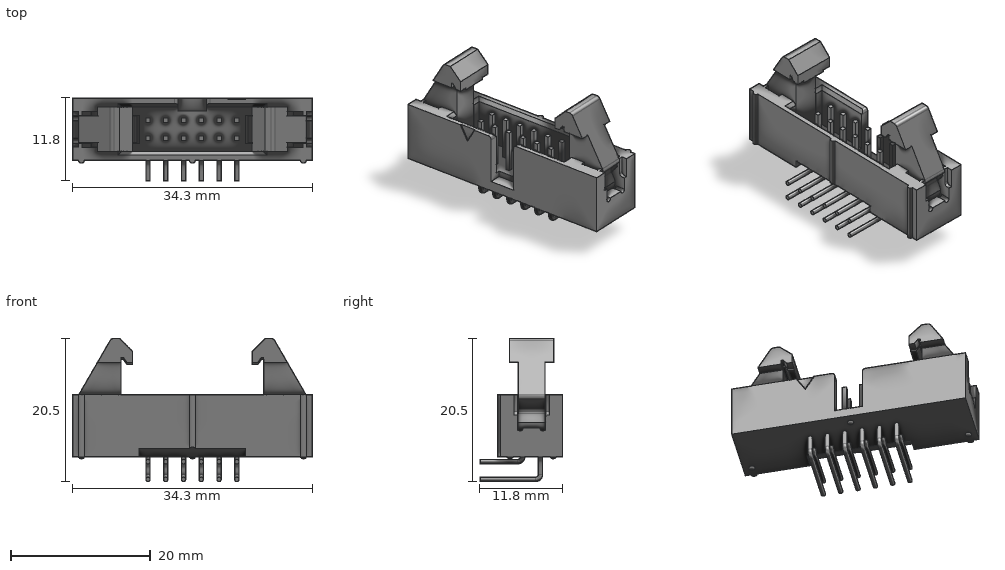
import cadquery as cq
import math


length = 34.29
depth = 8.89
height = 8.89
half_length = length / 2
half_depth = depth / 2

cavity_length = 20.32
cavity_width = 6.4
cavity_floor_z = 2.4
rim_chamfer = 0.5

notch_width = 4.05
notch_floor_z = 1.52
notch_inner_y = 2.59
notch_rounding = 0.5

rib_radius = 0.44
rib_inset = 0.04
rib_spacing = 15.875
foot_radius = 0.45
foot_height = 0.3
foot_y = 3.08

relief_length = 15.24
relief_height = 1.15
relief_depth = 2.03

pitch = 2.54
columns = 6
pin_size = 0.64
pin_top_z = 8.58
pin_root_z = 1.0
pin_bend_radius = 0.72
tail_end_y = -7.365
lowest_tail_z = -3.24

mark_x = (columns - 1) / 2 * pitch
mark_half_width = pitch / 2
mark_height = 2.2
mark_depth = 0.18

clearance = 0.05
latch_width = 3.85
head_width = 6.35
latch_top_z = 16.94
lean_angle = math.radians(30)
lean = math.tan(lean_angle)
top_outer_x = 11.6
top_inner_x = 10.42
arm_inner_x = 10.2
hook_tip_x = 8.55
hook_tip_height = 1.86
hook_bottom_z = 13.2
ear_bottom_z = 13.51
hook_flat = 0.82
hook_notch_height = 0.72
hook_notch_width = 0.31
top_rounding = 0.65
elbow_z = 8.51
elbow_rounding = 0.6
heel_x = 15.53
heel_top_z = 4.87
heel_bulge = 0.09
heel_turn = math.radians(60)
neck_rounding = 0.6
toe_tip_x = 7.95
toe_top_z = 2.3
toe_bottom_z = 1.2
toe_rounding = 0.3
trunnion_x = 13.25
trunnion_z = 5.0
trunnion_radius = 1.18
trunnion_length = 5.06

slot_width = 4.0
slot_floor_z = 4.13
toe_slot_end_x = 7.6
toe_slot_rounding = 0.35
groove_radius = 0.39
groove_bottom_z = 3.7
pocket_width = trunnion_length + 2 * clearance
pocket_inner_x = 13.0
pocket_outer_x = 15.8
pocket_slope_top_z = 7.42
pocket_slope_bottom_z = 5.75
recess_width = 5.07
recess_depth = 0.85
recess_floor_z = 5.97
recess_rounding = 0.53


def box(x_range, y_range, z_range):
    """Block spanning the given (low, high) ranges."""
    spans = (x_range, y_range, z_range)
    sizes = [high - low for low, high in spans]
    return cq.Workplane("XY").box(*sizes, centered=False).translate([low for low, _ in spans])


def across(width):
    """(low, high) range of a width centred on zero."""
    return (-width / 2, width / 2)


def side_prism(outline, width):
    """XZ outline extruded along Y, centred on Y = 0."""
    return cq.Workplane("XZ").polyline(outline).close().extrude(width / 2, both=True)


def cross_cylinder(x, z, radius, width):
    """Cylinder along Y, centred on Y = 0."""
    return cq.Workplane("XZ").center(x, z).circle(radius).extrude(width / 2, both=True)


def round_corner(body, corner, radius):
    """Fillets the edge along Y that passes through an XZ corner."""
    x, z = corner
    return body.edges("|Y").edges(cq.selectors.NearestToPointSelector((x, 0, z))).fillet(radius)


def mirrored(body):
    return body.mirror("YZ")


def cavity():
    top = (
        cq.Workplane("XY", origin=(0, 0, height - rim_chamfer))
        .rect(cavity_length, cavity_width)
        .workplane(offset=rim_chamfer)
        .rect(cavity_length + 2 * rim_chamfer, cavity_width + 2 * rim_chamfer)
        .loft(ruled=True)
    )
    return box(across(cavity_length), across(cavity_width), (cavity_floor_z, height)).union(top)


def key_notch():
    notch = box(across(notch_width), (notch_inner_y, half_depth), (notch_floor_z, height))
    for side in (-1, 1):
        edge_x = side * notch_width / 2
        outer_x = edge_x + side * notch_rounding
        flare = (
            cq.Workplane("XZ", origin=(0, half_depth, 0))
            .moveTo(edge_x, height)
            .lineTo(edge_x, height - notch_rounding)
            .radiusArc((outer_x, height), side * notch_rounding)
            .close()
            .extrude(half_depth - notch_inner_y)
        )
        notch = notch.union(flare)
    return notch


def pin_one_mark():
    outline = [
        (mark_x - mark_half_width, height),
        (mark_x + mark_half_width, height),
        (mark_x, height - mark_height),
    ]
    return cq.Workplane("XZ", origin=(0, half_depth, 0)).polyline(outline).close().extrude(mark_depth)


def front_ribs():
    centres = [(x, rib_inset - half_depth) for x in (-rib_spacing, 0, rib_spacing)]
    return cq.Workplane("XY").pushPoints(centres).circle(rib_radius).extrude(height)


def tail_relief():
    """Wedge under the front wall, carried on past the wall to trim the middle rib."""
    slope = relief_height / relief_depth
    front_y = rib_inset - half_depth - rib_radius
    inner_y = -half_depth + relief_depth
    outline = [(inner_y, 0), (front_y, 0), (front_y, (inner_y - front_y) * slope)]
    return cq.Workplane("YZ").polyline(outline).close().extrude(relief_length / 2, both=True)


def underside_feet():
    sphere_radius = (foot_radius**2 + foot_height**2) / (2 * foot_height)
    centres = [(-rib_spacing, -foot_y), (rib_spacing, -foot_y), (0, foot_y)]
    centre_z = sphere_radius - foot_height
    return cq.Workplane("XY", origin=(0, 0, centre_z)).pushPoints(centres).sphere(sphere_radius)


def latch_slot():
    """All that is cut for one latch: slot, toe slot, corner grooves, trunnion pocket and end recess."""
    heel_wall_x = heel_x + clearance
    slot = box((cavity_length / 2, half_length), across(slot_width), (slot_floor_z, height))
    toe_slot = box(
        (toe_slot_end_x, heel_wall_x),
        across(slot_width),
        (toe_bottom_z - clearance, slot_floor_z),
    )
    toe_slot = round_corner(toe_slot, (toe_slot_end_x, toe_bottom_z - clearance), toe_slot_rounding)
    above_floor = box((toe_slot_end_x, heel_wall_x), across(slot_width), (cavity_floor_z, height))
    slot = slot.union(toe_slot).union(above_floor)

    groove_y = slot_width / 2 - groove_radius
    groove_z = groove_bottom_z + groove_radius
    grooves = (
        cq.Workplane("YZ", origin=(heel_wall_x, 0, 0))
        .pushPoints([(-groove_y, groove_z), (groove_y, groove_z)])
        .circle(groove_radius)
        .extrude(half_length - heel_wall_x)
    )

    socket_radius = trunnion_radius + clearance
    socket_outer_x = trunnion_x + socket_radius
    pocket_outline = [
        (pocket_inner_x, height),
        (pocket_outer_x, height),
        (pocket_outer_x, pocket_slope_top_z),
        (socket_outer_x, pocket_slope_bottom_z),
        (socket_outer_x, trunnion_z),
        (pocket_inner_x, trunnion_z),
    ]
    pocket = side_prism(pocket_outline, pocket_width)
    socket = cross_cylinder(trunnion_x, trunnion_z, socket_radius, pocket_width)

    recess_wall_x = half_length - recess_depth
    recess = box((recess_wall_x, half_length), across(recess_width), (recess_floor_z, height))
    recess = round_corner(recess, (recess_wall_x, recess_floor_z), recess_rounding)
    return slot.union(grooves).union(pocket).union(socket).union(recess)


def pin(x, y, tail_z):
    """Square contact blade above the floor, and a round tail bent toward -Y."""
    blade = box(across(pin_size), across(pin_size), (pin_root_z, pin_top_z)).translate((x, y, 0))
    bend_y = y - pin_bend_radius
    bend_z = tail_z + pin_bend_radius
    diagonal = pin_bend_radius * math.sqrt(0.5)
    path = (
        cq.Workplane("YZ", origin=(x, 0, 0))
        .moveTo(y, pin_root_z)
        .lineTo(y, bend_z)
        .threePointArc((bend_y + diagonal, bend_z - diagonal), (bend_y, tail_z))
        .lineTo(tail_end_y, tail_z)
    )
    tail = cq.Workplane("XY", origin=(x, y, pin_root_z)).circle(pin_size / 2).sweep(path)
    return blade.union(tail)


def build_housing():
    """Insulator with its pins set into the floor as one body."""
    body = box(across(length), across(depth), (0, height))
    body = body.union(front_ribs()).union(underside_feet())
    body = body.cut(cavity()).cut(key_notch()).cut(pin_one_mark()).cut(tail_relief())
    body = body.cut(latch_slot()).cut(mirrored(latch_slot()))
    for column in range(columns):
        x = (column - (columns - 1) / 2) * pitch
        body = body.union(pin(x, pitch / 2, lowest_tail_z))
        body = body.union(pin(x, -pitch / 2, lowest_tail_z + pitch))
    return body


def arm_outer_x(z):
    """Outer face of the leaning arm at a given height."""
    return top_outer_x + (latch_top_z - z) * lean


def head_outline(bottom_z):
    """Top, hook and hook notch, from the outer top corner down to the inner face of the arm."""
    notch_top_z = bottom_z + hook_notch_height
    notch_x = arm_inner_x - hook_notch_width
    return [
        (top_outer_x, latch_top_z),
        (top_inner_x, latch_top_z),
        (hook_tip_x, latch_top_z - hook_tip_height),
        (hook_tip_x, bottom_z),
        (hook_tip_x + hook_flat, bottom_z),
        (notch_x, notch_top_z),
        (arm_inner_x, notch_top_z),
    ]


def heel_arc_point(turn):
    """Point on the arc that curves under the heel, at an angle past the top of the heel."""
    radius = heel_x - trunnion_x
    return (
        trunnion_x + radius * math.cos(turn),
        heel_top_z - radius * math.sin(turn),
    )


def build_latch():
    """Latch at the +X end."""
    elbow = (arm_outer_x(elbow_z), elbow_z)
    neck_drop = (elbow[0] - heel_x + (elbow_z - heel_top_z) * lean) / (1 + lean)
    neck = (elbow[0] - neck_drop, elbow_z - neck_drop)
    toe_tip = (toe_tip_x, toe_top_z)
    heel = (heel_x, heel_top_z)
    heel_face_middle = (
        (heel_x + neck[0]) / 2 + heel_bulge * math.cos(lean_angle),
        (heel_top_z + neck[1]) / 2 + heel_bulge * math.sin(lean_angle),
    )
    under_heel = heel_arc_point(heel_turn)
    toe_bottom_x = under_heel[0] - (under_heel[1] - toe_bottom_z) * math.tan(heel_turn)
    arm = (
        cq.Workplane("XZ")
        .polyline(head_outline(hook_bottom_z))
        .lineTo(arm_inner_x, toe_top_z)
        .lineTo(*toe_tip)
        .lineTo(toe_tip_x, toe_bottom_z)
        .lineTo(toe_bottom_x, toe_bottom_z)
        .lineTo(*under_heel)
        .threePointArc(heel_arc_point(heel_turn / 2), heel)
        .threePointArc(heel_face_middle, neck)
        .lineTo(*elbow)
        .close()
        .extrude(latch_width / 2, both=True)
    )
    ear_base = [(arm_inner_x, ear_bottom_z), (arm_outer_x(ear_bottom_z), ear_bottom_z)]
    ears = side_prism(head_outline(ear_bottom_z) + ear_base, head_width)
    latch = arm.union(ears)
    latch = round_corner(latch, (top_outer_x, latch_top_z), top_rounding)
    latch = round_corner(latch, elbow, elbow_rounding)
    latch = round_corner(latch, neck, neck_rounding)
    latch = round_corner(latch, toe_tip, toe_rounding)
    trunnion = cross_cylinder(trunnion_x, trunnion_z, trunnion_radius, trunnion_length)
    return latch.union(trunnion)


housing = build_housing()
right_latch = build_latch()
latches = [right_latch, mirrored(right_latch)]

result = cq.Compound.makeCompound([housing.val(), *[latch.val() for latch in latches]])